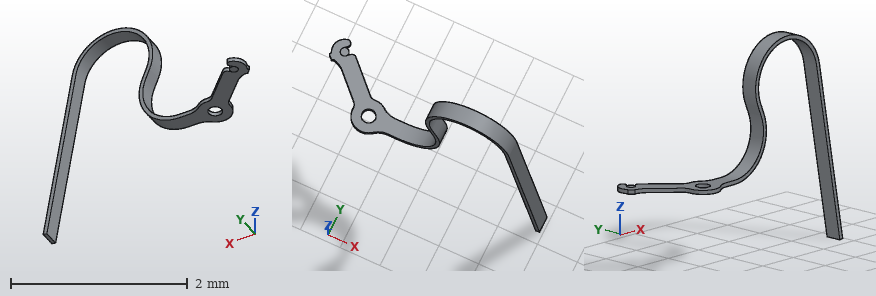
import cadquery as cq
import math


thickness = 0.05
strip_width = 0.201
half_width = strip_width / 2

hub_radius = 0.201
hub_hole_diameter = 0.165
strip_start = 0.41
arm_angle = 135
hub_strip_fillet = 0.25
hub_arm_fillet = 0.1

pin_diameter = 0.102
pin_radius = pin_diameter / 2
pin_distance = 0.815
hook_radius = 0.152
hook_neck_fillet = 0.25
hook_tip_radius = 0.04
slot_corner_radius = half_width - pin_radius
tab_half_width = 0.038
tab_reach = 0.172
tab_fillet = 0.03

bend_radius = 0.505
link_tilt = 22.5
link_length = 0.14
leg_tilt = 10.2
spring_bottom = -0.993


def polar(center, radius, degrees):
    """Point at a given radius and angle around a center."""
    angle = math.radians(degrees)
    return (center[0] + radius * math.cos(angle), center[1] + radius * math.sin(angle))


def prism(sketch):
    """Extrude a flat outline through the sheet thickness."""
    return sketch.close().extrude(thickness)


def fillet_web(circle_x, circle_radius, fillet, along, side):
    """Web filling the concave corner between a circle centered on the X axis and a strip edge.

    along (+1 or -1) is the direction from the circle along the strip; side picks the strip edge.
    """
    rise = half_width + fillet
    reach = circle_radius + fillet
    run = math.sqrt(reach**2 - rise**2)
    fillet_center = (circle_x + along * run, side * rise)
    toward_circle = math.degrees(math.atan2(-side * rise, -along * run))
    toward_edge = -90 * side
    turn = (toward_edge - toward_circle + 180) % 360 - 180
    contact = polar(fillet_center, fillet, toward_circle)
    middle = polar(fillet_center, fillet, toward_circle + turn / 2)
    edge_end = (fillet_center[0], side * half_width)
    return prism(
        cq.Workplane("XY")
        .moveTo(circle_x, 0)
        .lineTo(*contact)
        .threePointArc(middle, edge_end)
        .lineTo(edge_end[0], 0)
    )


def disc(center, radius):
    return cq.Workplane("XY").center(*center).circle(radius).extrude(thickness)


def bar(x_start, x_end, y_start, y_end):
    """Rectangular piece of sheet between two corners."""
    return (
        cq.Workplane("XY")
        .moveTo(x_start, y_start)
        .lineTo(x_end, y_start)
        .lineTo(x_end, y_end)
        .lineTo(x_start, y_end)
        .close()
        .extrude(thickness)
    )


def make_tab():
    """Small tab on the back of the hook, blended into the hook circle by concave fillets."""
    tab = bar(pin_distance - tab_half_width, pin_distance + tab_half_width, 0, tab_reach)
    for side in (-1, 1):
        rise = tab_half_width + tab_fillet
        reach = hook_radius + tab_fillet
        height = math.sqrt(reach**2 - rise**2)
        contact_scale = hook_radius / reach
        web = prism(
            cq.Workplane("XY")
            .moveTo(pin_distance, 0)
            .lineTo(pin_distance + side * rise * contact_scale, height * contact_scale)
            .lineTo(pin_distance + side * rise, height)
            .lineTo(pin_distance + side * tab_half_width, height)
        )
        tab = tab.union(web.cut(disc((pin_distance + side * rise, height), tab_fillet)))
    return tab


def make_arm():
    """Arm and hook laid along +X; the slot opens toward -Y and the tab points to +Y."""
    arm = bar(0, pin_distance, -half_width, half_width)
    hook = disc((pin_distance, 0), hook_radius)

    slot_near = pin_distance - pin_radius
    slot_far = pin_distance + pin_radius
    tip_x = slot_far + hook_tip_radius
    tip_y = -math.sqrt((hook_radius - hook_tip_radius) ** 2 - (tip_x - pin_distance) ** 2)
    tip = (tip_x, tip_y)
    tip_contact = polar((pin_distance, 0), hook_radius, math.degrees(math.atan2(tip_y, tip_x - pin_distance)))
    hook = hook.cut(bar(slot_near - hook_radius, slot_far, -hook_radius, -half_width))
    beyond_tip = prism(
        cq.Workplane("XY")
        .moveTo(slot_far, tip_y)
        .lineTo(*tip)
        .lineTo(*tip_contact)
        .lineTo(tip_contact[0], -hook_radius)
        .lineTo(slot_far, -hook_radius)
    )
    hook = hook.cut(beyond_tip).union(disc(tip, hook_tip_radius))

    arm = arm.union(hook).union(make_tab())
    arm = arm.union(fillet_web(pin_distance, hook_radius, hook_neck_fillet, -1, 1))
    for side in (-1, 1):
        arm = arm.union(fillet_web(0, hub_radius, hub_arm_fillet, 1, side))

    arm = arm.cut(bar(slot_near, slot_far, -hook_radius, 0)).cut(disc((pin_distance, 0), pin_radius))

    corner_start = slot_near - slot_corner_radius
    corner = bar(corner_start, slot_near, -half_width, -pin_radius)
    arm = arm.cut(corner.cut(disc((corner_start, -pin_radius), slot_corner_radius)))
    return arm.rotate((0, 0, 0), (0, 0, 1), arm_angle)


def make_plate():
    """Hub, straight strip and hooked arm, with the hub hole."""
    plate = disc((0, 0), hub_radius).union(bar(0, strip_start, -half_width, half_width))
    for side in (-1, 1):
        plate = plate.union(fillet_web(0, hub_radius, hub_strip_fillet, 1, side))
    return plate.union(make_arm()).cut(disc((0, 0), hub_hole_diameter / 2))


def make_spring():
    """Bent strip, drawn in the XZ plane as an inner and an outer edge of the sheet."""
    half = thickness / 2
    outer = bend_radius + half
    inner = bend_radius - half
    lower_center = (strip_start, outer)
    link_start = polar(lower_center, bend_radius, link_tilt)
    link_end = polar(link_start, link_length, link_tilt + 90)
    upper_center = polar(link_end, bend_radius, link_tilt)
    upper_start = link_tilt + 180
    upper_end = leg_tilt
    lower_middle = (link_tilt - 90) / 2
    upper_middle = (upper_start + upper_end) / 2

    leg_top = polar(upper_center, bend_radius, leg_tilt)
    tilt = math.radians(leg_tilt)
    leg_length = (leg_top[1] - spring_bottom - half * math.sin(tilt)) / math.cos(tilt)
    leg_end = polar(leg_top, leg_length, leg_tilt - 90)

    return (
        cq.Workplane("XZ")
        .moveTo(strip_start, 0)
        .threePointArc(polar(lower_center, outer, lower_middle), polar(lower_center, outer, link_tilt))
        .lineTo(*polar(upper_center, inner, upper_start))
        .threePointArc(polar(upper_center, inner, upper_middle), polar(upper_center, inner, upper_end))
        .lineTo(*polar(leg_end, -half, leg_tilt))
        .lineTo(*polar(leg_end, half, leg_tilt))
        .lineTo(*polar(upper_center, outer, upper_end))
        .threePointArc(polar(upper_center, outer, upper_middle), polar(upper_center, outer, upper_start))
        .lineTo(*polar(lower_center, inner, link_tilt))
        .threePointArc(polar(lower_center, inner, lower_middle), (strip_start, thickness))
        .close()
        .extrude(half_width, both=True)
    )


def make_clip():
    """One-piece spring clip: flat plate and bent spring."""
    return make_plate().union(make_spring())


def make_pin():
    """Pin held in the hook, flush with both faces of the plate."""
    return disc(polar((0, 0), pin_distance, arm_angle), pin_radius)


clip = make_clip()
pin = make_pin()
result = cq.Compound.makeCompound([clip.val(), pin.val()])